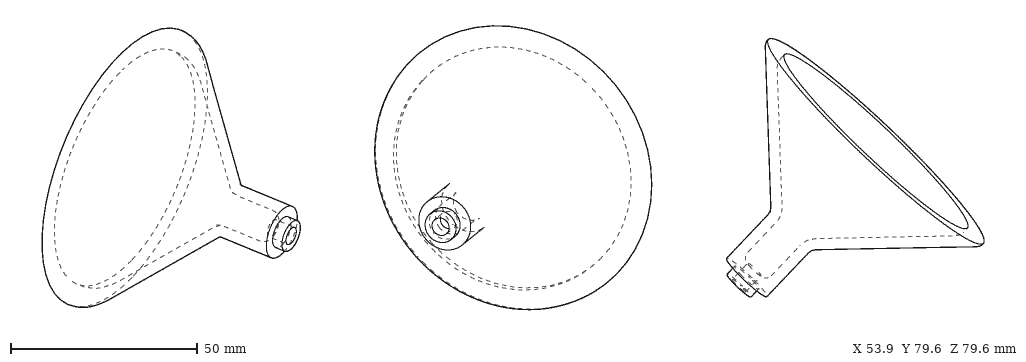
import cadquery as cq

mouth_radius = 39.8
rim_width = 0.95
stem_radius = 7.5
stem_end = 50.8
tip_radius = 4.5
overall_length = 53.85
wall = 3.0
cavity_mouth_radius = 33.85
drain_radius = 2.5

rim_round = 1.5
neck_round = wall
cavity_mouth_round = 3.0
bore_bottom_round = 2.0

outer_cone_sum = mouth_radius + rim_width
inner_cone_sum = outer_cone_sum - wall * 2**0.5
outer_neck = outer_cone_sum - stem_radius

bore_radius = stem_radius - wall
bore_end = stem_end - wall
inner_neck = inner_cone_sum - bore_radius
cavity_lip = inner_cone_sum - cavity_mouth_radius


def turned(profile):
    """Revolve (axial position, radius) points, closed along the X axis."""
    start, end = profile[0][0], profile[-1][0]
    points = [(start, 0)] + profile + [(end, 0)]
    return cq.Workplane("XY").polyline(points).close().revolve(360, (0, 0), (1, 0))


def round_corner(body, position, radius):
    """Fillet the circular edge centred on the axis at the given position."""
    tolerance = 0.01
    near = (position - tolerance, -tolerance, -tolerance)
    far = (position + tolerance, tolerance, tolerance)
    return body.edges(cq.selectors.BoxSelector(near, far)).fillet(radius)


shell = turned([
    (0, mouth_radius),
    (rim_width, mouth_radius),
    (outer_neck, stem_radius),
    (stem_end, stem_radius),
])
shell = round_corner(shell, rim_width, rim_round)
shell = round_corner(shell, outer_neck, neck_round)

tip = turned([(bore_end, tip_radius), (overall_length, tip_radius)])

cavity = turned([
    (0, cavity_mouth_radius),
    (cavity_lip, cavity_mouth_radius),
    (inner_neck, bore_radius),
    (bore_end, bore_radius),
])
cavity = round_corner(cavity, cavity_lip, cavity_mouth_round)
cavity = round_corner(cavity, inner_neck, neck_round + wall)
cavity = round_corner(cavity, bore_end, bore_bottom_round)

drain = turned([(0, drain_radius), (overall_length, drain_radius)])

result = shell.union(tip).cut(cavity).cut(drain)